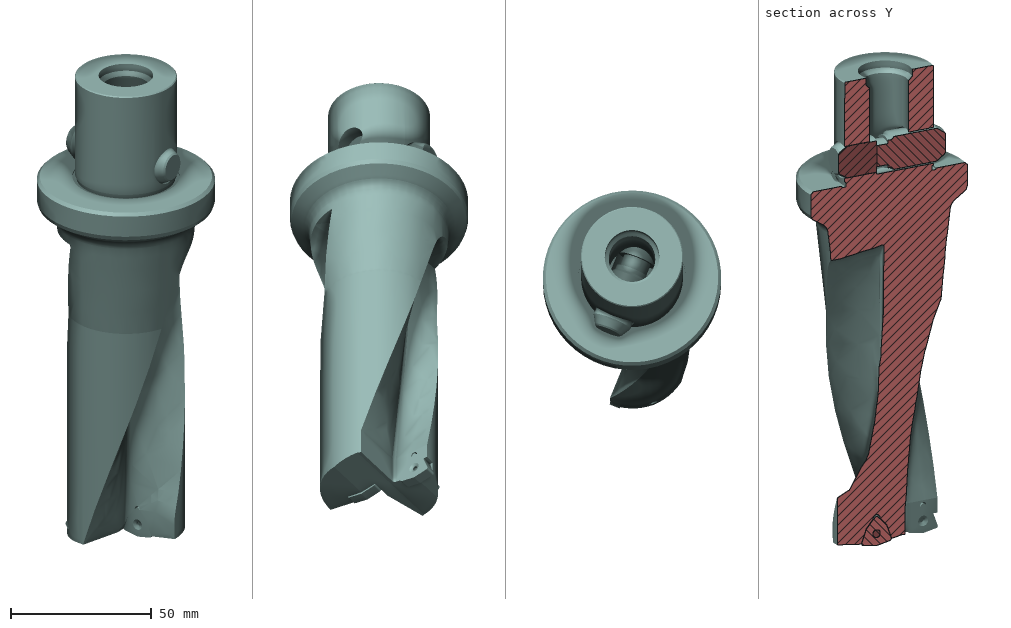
import cadquery as cq
import math

TOP_Z = 179.8
FLANGE_TOP_Z = 140.2
CONE_BOTTOM_Z = 88.1

SHANK_R = 18.2
SHANK_EDGE = 0.4
NECK_R = 17.6
NECK_HEIGHT = 1.0
NECK_GROOVE_R = 19.0
NECK_GROOVE_DEPTH = 0.5
BORE_R = 8.3
BORE_MOUTH_R = 9.7
BORE_MOUTH_DEPTH = 2.7

FLANGE_R = 31.73
FLANGE_RIM_HEIGHT = 9.0
FLANGE_EDGE = 1.0
FLANGE_LOWER_EDGE_HEIGHT = 1.6
FLANGE_LOWER_EDGE_INSET = 0.5
FLANGE_UNDER_R = 26.6
FLANGE_UNDER_Z = 126.5
CONE_TOP_R = 24.8
CONE_TOP_Z = 123.3
DRILL_R = 21.0

LOCATING_R = 5.2
LOCATING_DEPTH = 5.4
LOCATING_Z = 155.5

PIN_Z = 149.0
PIN_FACE_R = 5.2
PIN_FACE_EDGE = 0.5
CLAMP_HOLE_R = 7.4
CLAMP_PIN_R = 7.0
CLAMP_PIN_FACE_X = -22.7
CLAMP_PIN_TAPER = 3.6
CLAMP_PIN_COLLAR_X = -2.0
CLAMP_PIN_COLLAR_EDGE = 0.9
CLAMP_PIN_END_X = 0.5
STUD_R = 5.0
STUD_END_X = 5.0
COUNTER_PIN_R = 6.7
COUNTER_PIN_FACE_X = 20.3
COUNTER_PIN_TAPER = 3.2

RUNOUT_START_Z = 109.7
RUNOUT_END_Z = 120.0
RUNOUT_REACH = 0.75
CORNER_RELIEF = 0.9
TWIST_SECTIONS = 10
RUNOUT_SECTIONS = 5

CENTRAL_FLUTE = dict(
    turn=0, upright_z=10.8, sharp_upright=False, wall_angle=-104.0, wall_twist=0.9733, wall_start=0.0,
    floor_twist=0.7508, core_r=0.0, core_growth=0.02, core_twist=0.2781,
)
OUTER_FLUTE = dict(
    turn=180, upright_z=12.5, sharp_upright=True, wall_angle=-72.0, wall_twist=0.8343, wall_start=12.5,
    floor_twist=0.6396, core_r=6.5, core_growth=0.045, core_twist=0.4727,
)

INSERT_Z = 4.7
INSERT_CORNER_R = 7.1
INSERT_MIDDLE_R = INSERT_Z
INSERT_NOSE_R = 0.7
INSERT_THICKNESS = 3.8
SEAT_OPENING = 3.6
CENTRAL_INSERT_X = 5.0
OUTER_INSERT_X = 15.3
RELIEF_HOLE_R = 1.3
RELIEF_HOLE_RISE = 6.0
RIM_OPENING_X = 19.5
RIM_OPENING_Z = 6.8
SCREW_R = 1.35
SCREW_HEAD_R = 2.9
SCREW_HEAD_DEPTH = 1.8
SCREW_LENGTH = 13.7
SCREW_HOLE_LENGTH = 21.5
SOCKET_R = 0.9
SOCKET_DEPTH = 1.5
SOCKET_MOUTH_R = 2.0
SOCKET_MOUTH_DEPTH = 0.5

END_CLEARANCE = 0.7
END_SLOPE = 0.155

FAR = 36.0


def point_at(radius, angle):
    return cq.Vector(radius * math.cos(math.radians(angle)), radius * math.sin(math.radians(angle)), 0)


def turned_profile():
    """Revolved shank, flange, cone and drill, all as one solid."""
    rim_bottom_z = FLANGE_TOP_Z - FLANGE_RIM_HEIGHT
    return (
        cq.Workplane("XZ")
        .moveTo(0, 0)
        .lineTo(DRILL_R, 0)
        .lineTo(DRILL_R, CONE_BOTTOM_Z)
        .lineTo(CONE_TOP_R, CONE_TOP_Z)
        .tangentArcPoint((FLANGE_UNDER_R, FLANGE_UNDER_Z), relative=False)
        .lineTo(FLANGE_R - FLANGE_LOWER_EDGE_INSET, rim_bottom_z - FLANGE_LOWER_EDGE_HEIGHT)
        .lineTo(FLANGE_R, rim_bottom_z)
        .lineTo(FLANGE_R, FLANGE_TOP_Z - FLANGE_EDGE)
        .lineTo(FLANGE_R - FLANGE_EDGE, FLANGE_TOP_Z)
        .lineTo(NECK_GROOVE_R, FLANGE_TOP_Z)
        .lineTo(NECK_GROOVE_R, FLANGE_TOP_Z - NECK_GROOVE_DEPTH)
        .lineTo(NECK_R, FLANGE_TOP_Z - NECK_GROOVE_DEPTH)
        .lineTo(NECK_R, FLANGE_TOP_Z + NECK_HEIGHT)
        .lineTo(SHANK_R, FLANGE_TOP_Z + NECK_HEIGHT)
        .lineTo(SHANK_R, TOP_Z - SHANK_EDGE)
        .lineTo(SHANK_R - SHANK_EDGE, TOP_Z)
        .lineTo(0, TOP_Z)
        .close()
        .revolve(360, (0, 0, 0), (0, 1, 0))
    )


def shank_bore():
    """Blind bore that ends at the cross axis, with a wider mouth and a conical step."""
    mouth_bottom_z = TOP_Z - BORE_MOUTH_DEPTH
    return (
        cq.Workplane("XZ")
        .moveTo(0, PIN_Z)
        .lineTo(BORE_R, PIN_Z)
        .lineTo(BORE_R, mouth_bottom_z - (BORE_MOUTH_R - BORE_R))
        .lineTo(BORE_MOUTH_R, mouth_bottom_z)
        .lineTo(BORE_MOUTH_R, TOP_Z)
        .lineTo(0, TOP_Z)
        .close()
        .revolve(360, (0, 0, 0), (0, 1, 0))
    )


def locating_hole():
    return (
        cq.Workplane("XZ", origin=(0, SHANK_R - LOCATING_DEPTH, LOCATING_Z))
        .circle(LOCATING_R)
        .extrude(-FAR)
    )


def cross_hole():
    """Stepped hole through the shank for the two clamping pins."""
    wide = cq.Workplane("YZ", origin=(-FAR, 0, PIN_Z)).circle(CLAMP_HOLE_R).extrude(FAR + STUD_END_X)
    narrow = cq.Workplane("YZ", origin=(0, 0, PIN_Z)).circle(COUNTER_PIN_R).extrude(FAR)
    return wide.union(narrow)


def flute_section(flute, z):
    """Closed wire of the flute at one height: floor, rounded corner, wall and an outer closure."""
    twist_height = max(0.0, z - flute["upright_z"])
    floor_angle = flute["floor_twist"] * twist_height
    wall_angle = flute["wall_angle"] + flute["wall_twist"] * max(0.0, z - flute["wall_start"])
    core_r = flute["core_r"] + flute["core_growth"] * twist_height
    corner = point_at(core_r, flute["core_twist"] * twist_height)
    floor_rim = point_at(DRILL_R, floor_angle)

    run = max(0.0, z - RUNOUT_START_Z) / (RUNOUT_END_Z - RUNOUT_START_Z)
    closing = RUNOUT_REACH * (1 - math.sqrt(max(0.0, 1 - run**2)))
    wall_angle += (floor_angle - wall_angle) * closing
    corner += (floor_rim - corner) * closing

    along_floor = (floor_rim - corner).normalized()
    along_wall = (point_at(DRILL_R, wall_angle) - corner).normalized()
    floor_start = corner + along_floor * CORNER_RELIEF
    wall_start = corner + along_wall * CORNER_RELIEF
    toward_middle = along_floor + along_wall
    arc_middle = corner + toward_middle * (CORNER_RELIEF * (1 - math.sqrt(0.5)))
    floor_end = corner + along_floor * FAR
    wall_end = corner + along_wall * FAR
    outside = corner + toward_middle.normalized() * (2 * FAR)
    wire = cq.Wire.assembleEdges([
        cq.Edge.makeLine(floor_end, floor_start),
        cq.Edge.makeThreePointArc(floor_start, arc_middle, wall_start),
        cq.Edge.makeLine(wall_start, wall_end),
        cq.Edge.makeLine(wall_end, outside),
        cq.Edge.makeLine(outside, floor_end),
    ])
    return wire.translate(cq.Vector(0, 0, z)).rotate(cq.Vector(), cq.Vector(0, 0, 1), flute["turn"])


def flute_cutters(flute):
    """Upright, twisted and run-out stretches of one flute, from the tip upward."""
    upright_z = flute["upright_z"]
    twist_step = (RUNOUT_START_Z - upright_z) / TWIST_SECTIONS
    runout_length = RUNOUT_END_Z - RUNOUT_START_Z
    heights = [upright_z + twist_step * i for i in range(TWIST_SECTIONS)]
    for i in range(RUNOUT_SECTIONS + 1):
        heights.append(RUNOUT_START_Z + runout_length * math.sin(math.pi / 2 * i / RUNOUT_SECTIONS))
    if flute["sharp_upright"]:
        stretches = [[0.0, upright_z], heights]
    else:
        stretches = [[0.0, upright_z / 2] + heights]
    return [
        cq.Workplane(cq.Solid.makeLoft([flute_section(flute, z) for z in stretch]))
        for stretch in stretches
    ]


def end_face_cutter():
    """Material below the zigzag end face, which rises away from each insert's middle."""
    central_x = CENTRAL_INSERT_X
    outer_x = -OUTER_INSERT_X
    valley_x = (central_x + outer_x) / 2
    return (
        cq.Workplane("XZ", origin=(0, FAR, 0))
        .moveTo(-FAR, -FAR)
        .lineTo(-FAR, END_CLEARANCE + END_SLOPE * (outer_x + FAR))
        .lineTo(outer_x, END_CLEARANCE)
        .lineTo(valley_x, END_CLEARANCE + END_SLOPE * (valley_x - outer_x))
        .lineTo(central_x, END_CLEARANCE)
        .lineTo(FAR, END_CLEARANCE + END_SLOPE * (FAR - central_x))
        .lineTo(FAR, -FAR)
        .close()
        .extrude(2 * FAR)
    )


def insert_blank(x):
    """Trigon plate whose cutting face is on the flute floor at y = 0."""
    outline = []
    for i in range(3):
        corner_angle = 90 + 120 * i
        outline.append(point_at(INSERT_CORNER_R, corner_angle).toTuple()[:2])
        outline.append(point_at(INSERT_MIDDLE_R, corner_angle + 60).toTuple()[:2])
    blank = (
        cq.Workplane("XZ", origin=(x, 0, INSERT_Z))
        .polyline(outline)
        .close()
        .extrude(-INSERT_THICKNESS)
    )
    for i in range(3):
        nose = point_at(INSERT_CORNER_R, 90 + 120 * i)
        edge_middle = (x + nose.x, INSERT_THICKNESS / 2, INSERT_Z + nose.y)
        blank = blank.edges(cq.NearestToPointSelector(edge_middle)).fillet(INSERT_NOSE_R)
    return blank


def screw_blank(x, length):
    """Countersunk screw shape pointing along +Y from the cutting face."""
    return (
        cq.Workplane("XY", origin=(x, 0, INSERT_Z))
        .polyline([(0, 0), (SCREW_HEAD_R, 0), (SCREW_R, SCREW_HEAD_DEPTH), (SCREW_R, length), (0, length)])
        .close()
        .revolve(360, (0, 0, 0), (0, 1, 0))
    )


def half_turn(shape, flute):
    return shape.rotate((0, 0, 0), (0, 0, 1), flute["turn"])


def make_insert(x, flute):
    blank = insert_blank(x).cut(screw_blank(x, SCREW_LENGTH))
    return half_turn(blank, flute)


def make_screw(x, flute):
    socket = (
        cq.Workplane("XY", origin=(x, 0, INSERT_Z))
        .polyline([
            (0, 0),
            (SOCKET_MOUTH_R, 0),
            (SOCKET_R, SOCKET_MOUTH_DEPTH),
            (SOCKET_R, SOCKET_DEPTH),
            (0, SOCKET_DEPTH),
        ])
        .close()
        .revolve(360, (0, 0, 0), (0, 1, 0))
    )
    return half_turn(screw_blank(x, SCREW_LENGTH).cut(socket), flute)


def insert_seat(x, flute, screw_hole_length):
    """Pocket open in front of the insert, relief hole at its upper corner, and the screw hole."""
    relief = (
        cq.Workplane("XZ", origin=(x, 0, INSERT_Z + RELIEF_HOLE_RISE))
        .circle(RELIEF_HOLE_R)
        .extrude(-INSERT_THICKNESS)
    )
    blank = insert_blank(x)
    opening = blank.translate((0, -SEAT_OPENING, 0))
    seat = blank.union(opening).union(relief).union(screw_blank(x, screw_hole_length))
    return half_turn(seat, flute)


def rim_opening():
    """Opens the outer insert's pocket through the drill's side."""
    opening = cq.Workplane("XY").box(FAR, INSERT_THICKNESS, RIM_OPENING_Z, centered=False)
    return half_turn(opening.translate((RIM_OPENING_X, 0, 0)), OUTER_FLUTE)


def make_body():
    body = turned_profile().cut(shank_bore()).cut(cross_hole()).cut(locating_hole())
    for flute in (CENTRAL_FLUTE, OUTER_FLUTE):
        for cutter in flute_cutters(flute):
            body = body.cut(cutter)
    body = body.cut(end_face_cutter())
    body = body.cut(insert_seat(CENTRAL_INSERT_X, CENTRAL_FLUTE, SCREW_LENGTH))
    body = body.cut(insert_seat(OUTER_INSERT_X, OUTER_FLUTE, SCREW_HOLE_LENGTH))
    return body.cut(rim_opening())


def turned_pin(outline):
    """Pin turned about the cross axis from (x, radius) points."""
    return (
        cq.Workplane("XZ", origin=(0, 0, PIN_Z))
        .polyline(outline)
        .close()
        .revolve(360, (0, 0, 0), (1, 0, 0))
    )


def make_clamp_pin():
    return turned_pin([
        (CLAMP_PIN_FACE_X, 0),
        (CLAMP_PIN_FACE_X, PIN_FACE_R - PIN_FACE_EDGE),
        (CLAMP_PIN_FACE_X + PIN_FACE_EDGE, PIN_FACE_R),
        (CLAMP_PIN_FACE_X + CLAMP_PIN_TAPER, CLAMP_PIN_R),
        (CLAMP_PIN_COLLAR_X, CLAMP_PIN_R),
        (CLAMP_PIN_COLLAR_X + CLAMP_PIN_COLLAR_EDGE, CLAMP_PIN_R - CLAMP_PIN_COLLAR_EDGE),
        (CLAMP_PIN_END_X, CLAMP_PIN_R - CLAMP_PIN_COLLAR_EDGE),
        (CLAMP_PIN_END_X, STUD_R),
        (STUD_END_X, STUD_R),
        (STUD_END_X, 0),
    ])


def make_counter_pin():
    return turned_pin([
        (STUD_END_X, 0),
        (STUD_END_X, COUNTER_PIN_R),
        (COUNTER_PIN_FACE_X - COUNTER_PIN_TAPER, COUNTER_PIN_R),
        (COUNTER_PIN_FACE_X - PIN_FACE_EDGE, PIN_FACE_R),
        (COUNTER_PIN_FACE_X, PIN_FACE_R - PIN_FACE_EDGE),
        (COUNTER_PIN_FACE_X, 0),
    ])


body = make_body()
clamp_pin = make_clamp_pin()
counter_pin = make_counter_pin()
insert_places = [(CENTRAL_INSERT_X, CENTRAL_FLUTE), (OUTER_INSERT_X, OUTER_FLUTE)]
inserts = [make_insert(x, flute).val() for x, flute in insert_places]
screws = [make_screw(x, flute).val() for x, flute in insert_places]

result = cq.Compound.makeCompound([body.val(), clamp_pin.val(), counter_pin.val(), *inserts, *screws])